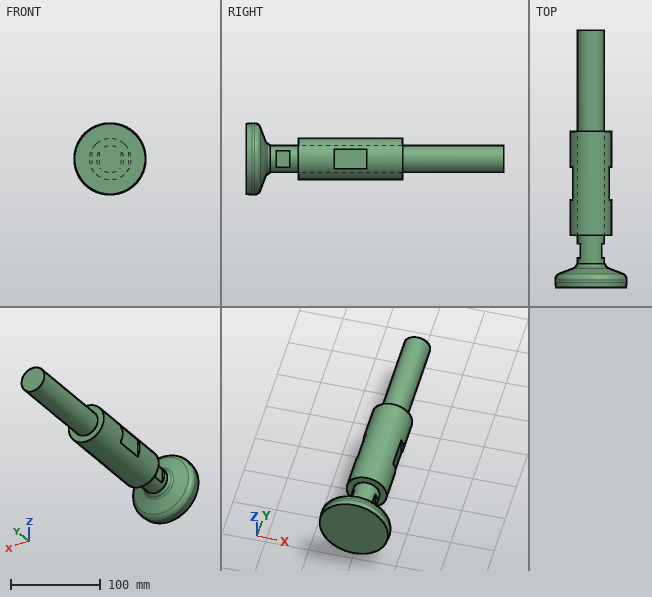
import cadquery as cq
import math

total_length = 286.5
foot_face_y = -total_length / 2

rod_radius = 15.05
rod_flat_spacing = 24.0
rod_flat_start = 33.2
rod_flat_length = 15.5

foot_radius = 39.97
bearing_face_radius = 39.3
rim_start = 6.3
rim_end = 9.0
shoulder_end = 15.8
cone_end = 21.8
neck_start = 23.5
neck_start_radius = 17.5
foot_height = 27.0
cone_angle = math.radians(21)

sleeve_radius = 23.05
sleeve_start = 58.2
sleeve_length = 115.7
sleeve_flat_spacing = 40.7
sleeve_flat_length = 36.5


def cylinder(radius, start, length):
    """Cylinder along +Y, starting a given distance above the bearing face."""
    base = cq.Vector(0, foot_face_y + start, 0)
    return cq.Workplane(cq.Solid.makeCylinder(radius, length, base, cq.Vector(0, 1, 0)))


def cut_flats(body, radius, spacing, start, length):
    """Cut two parallel flats facing -X and +X, a given distance apart."""
    width = 2 * radius
    for side in (-1, 1):
        cutter = cq.Workplane().box(width, length, width).translate(
            (side * (spacing + width) / 2, foot_face_y + start + length / 2, 0)
        )
        body = body.cut(cutter)
    return body


def make_foot():
    """Revolved foot: tapered base, rim, round shoulder, cone and neck."""
    shoulder_radius = (shoulder_end - rim_end) / math.cos(cone_angle)
    shoulder_end_radius = foot_radius - shoulder_radius * (1 - math.sin(cone_angle))
    cone_end_radius = shoulder_end_radius - (cone_end - shoulder_end) / math.tan(cone_angle)
    return (
        cq.Workplane("XY", origin=(0, foot_face_y, 0))
        .lineTo(bearing_face_radius, 0)
        .lineTo(foot_radius, rim_start)
        .lineTo(foot_radius, rim_end)
        .tangentArcPoint((shoulder_end_radius, shoulder_end), relative=False)
        .lineTo(cone_end_radius, cone_end)
        .tangentArcPoint((neck_start_radius, neck_start), relative=False)
        .lineTo(rod_radius, foot_height)
        .lineTo(0, foot_height)
        .close()
        .revolve(360, (0, 0, 0), (0, 1, 0))
    )


def make_spindle():
    """Rod and foot in one piece."""
    rod = cylinder(rod_radius, foot_height, total_length - foot_height)
    rod = cut_flats(rod, rod_radius, rod_flat_spacing, rod_flat_start, rod_flat_length)
    return rod.union(make_foot())


def make_sleeve():
    """Sleeve with a through bore that fits the rod."""
    sleeve = cylinder(sleeve_radius, sleeve_start, sleeve_length)
    sleeve = sleeve.cut(cylinder(rod_radius, sleeve_start, sleeve_length))
    flat_start = sleeve_start + (sleeve_length - sleeve_flat_length) / 2
    return cut_flats(sleeve, sleeve_radius, sleeve_flat_spacing, flat_start, sleeve_flat_length)


spindle = make_spindle()
sleeve = make_sleeve()

result = cq.Compound.makeCompound([spindle.solids().val(), sleeve.solids().val()])